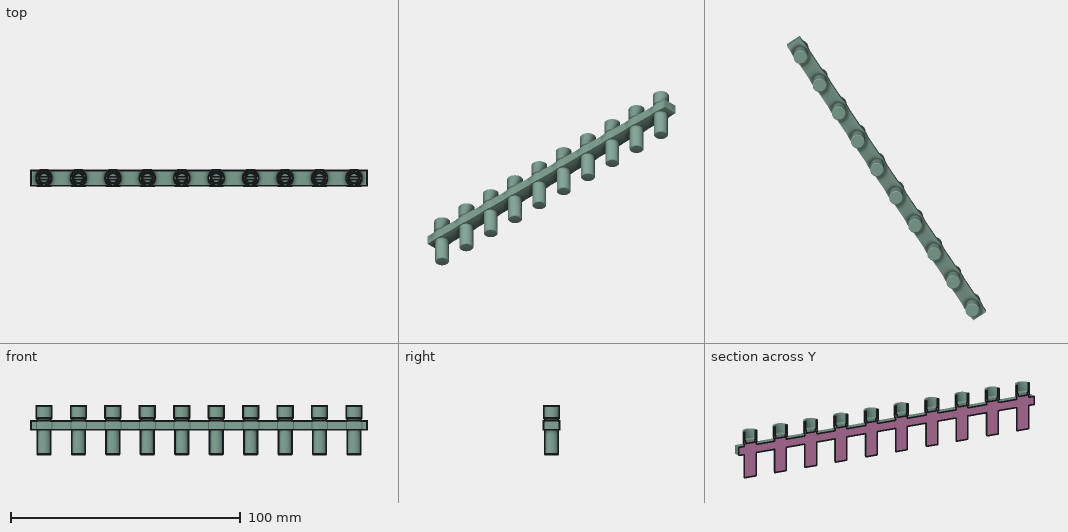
import cadquery as cq

bar_length = 146.4
bar_width = 6.7
bar_thickness = 4.0

bulge_chord = 6.9
overall_width = 7.3
bulge_rise = (overall_width - bar_width) / 2

screw_count = 10
row_length = 135.0
screw_pitch = row_length / (screw_count - 1)
screw_positions = [(i * screw_pitch - row_length / 2, 0) for i in range(screw_count)]

screw_length = 21.2
shank_diameter = 6.0
shank_below_bar = 10.7
head_diameter = 6.9
head_height = 5.5
edge_chamfer = 0.3
shank_bottom = -shank_below_bar
head_top = shank_bottom + screw_length
head_bottom = head_top - head_height

socket_diameter = 5.0
socket_depth = 4.4
socket_floor_diameter = 4.2
slot_width = 1.3
slot_depth = 1.0
socket_floor = head_top - socket_depth


def make_bulge(side):
    """Shallow arc segment on one long side of the bar; side is +1 or -1."""
    edge_y = side * bar_width / 2
    return (
        cq.Workplane("XY")
        .moveTo(-bulge_chord / 2, 0)
        .lineTo(-bulge_chord / 2, edge_y)
        .threePointArc((0, edge_y + side * bulge_rise), (bulge_chord / 2, edge_y))
        .lineTo(bulge_chord / 2, 0)
        .close()
        .extrude(bar_thickness)
    )


def make_socket():
    """Round socket with a bevelled floor edge and a straight slot below the floor."""
    bevel = (socket_diameter - socket_floor_diameter) / 2
    bore = (
        cq.Workplane("XY", origin=(0, 0, socket_floor))
        .circle(socket_diameter / 2)
        .extrude(socket_depth)
        .faces("<Z")
        .chamfer(bevel)
    )
    slot_limit = (
        cq.Workplane("XY", origin=(0, 0, socket_floor - slot_depth))
        .circle(socket_floor_diameter / 2)
        .extrude(slot_depth)
    )
    slot = (
        cq.Workplane("XY", origin=(0, 0, socket_floor - slot_depth))
        .rect(socket_diameter, slot_width)
        .extrude(slot_depth)
        .intersect(slot_limit)
    )
    return bore.union(slot)


def make_screw():
    """Shank with a chamfered tip, and a larger head chamfered underneath."""
    shank = (
        cq.Workplane("XY", origin=(0, 0, shank_bottom))
        .circle(shank_diameter / 2)
        .extrude(head_bottom - shank_bottom)
        .faces("<Z")
        .chamfer(edge_chamfer)
    )
    head = (
        cq.Workplane("XY", origin=(0, 0, head_bottom))
        .circle(head_diameter / 2)
        .extrude(head_height)
        .faces("<Z")
        .chamfer(edge_chamfer)
    )
    return shank.union(head).cut(make_socket())


def place_at_screws(shape):
    """Copies of a shape at every screw position."""
    return (
        cq.Workplane("XY")
        .pushPoints(screw_positions)
        .eachpoint(lambda place: shape.val().moved(place))
    )


bar = cq.Workplane("XY").box(bar_length, bar_width, bar_thickness, centered=(True, True, False))
for side in (1, -1):
    bar = bar.union(place_at_screws(make_bulge(side)))

result = bar.union(place_at_screws(make_screw()))